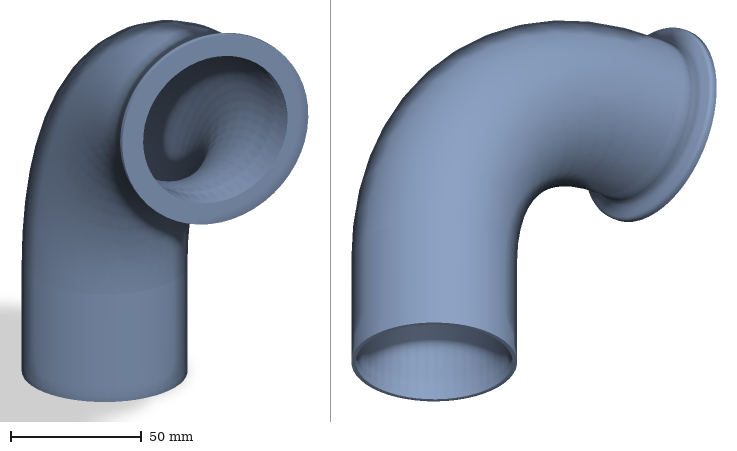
import cadquery as cq
import math

TUBE_DIAMETER = 63.5
BORE_DIAMETER = 60.1
TUBE_RADIUS = TUBE_DIAMETER / 2
BORE_RADIUS = BORE_DIAMETER / 2

FLANGE_DIAMETER = 77.5
FLANGE_RADIUS = FLANGE_DIAMETER / 2
FERRULE_LENGTH = 12.7
RIM_WIDTH = 2.9
CONE_ANGLE = 20.0
RIM_FILLET = 1.5
ROOT_FILLET = 2.0
CONE_LENGTH = (FLANGE_RADIUS - TUBE_RADIUS) * math.tan(math.radians(CONE_ANGLE))

OVERALL_HEIGHT = 178.5
BEND_RADIUS = 1.5 * TUBE_DIAMETER
OUTLET_HEIGHT = OVERALL_HEIGHT - FLANGE_RADIUS
LEG_LENGTH = OUTLET_HEIGHT - BEND_RADIUS
BEND_ANGLE = 90


def make_elbow():
    """Straight vertical leg continued by a quarter bend towards +X."""
    leg = cq.Workplane("XY").circle(TUBE_RADIUS).circle(BORE_RADIUS).extrude(LEG_LENGTH)
    bend = (
        cq.Workplane("XY", origin=(0, 0, LEG_LENGTH))
        .circle(TUBE_RADIUS)
        .circle(BORE_RADIUS)
        .revolve(BEND_ANGLE, (BEND_RADIUS, 0, 0), (BEND_RADIUS, 1, 0))
    )
    return leg.union(bend, clean=False)


def make_ferrule():
    """Clamp ferrule on the outlet axis, with a conical back and rounded corners."""
    rim_start = FERRULE_LENGTH - RIM_WIDTH
    root = rim_start - CONE_LENGTH
    ferrule = (
        cq.Workplane("XZ", origin=(BEND_RADIUS, 0, OUTLET_HEIGHT))
        .moveTo(0, BORE_RADIUS)
        .lineTo(0, TUBE_RADIUS)
        .lineTo(root, TUBE_RADIUS)
        .lineTo(rim_start, FLANGE_RADIUS)
        .lineTo(FERRULE_LENGTH, FLANGE_RADIUS)
        .lineTo(FERRULE_LENGTH, BORE_RADIUS)
        .close()
        .revolve(360, (0, 0, 0), (1, 0, 0))
    )
    ferrule = ferrule.faces("%CONE").edges("%CIRCLE").edges(">X").fillet(RIM_FILLET)
    return ferrule.faces("%CONE").edges("%CIRCLE").edges("<X").fillet(ROOT_FILLET)


elbow = make_elbow()
ferrule = make_ferrule()

result = cq.Compound.makeCompound([elbow.solids().val(), ferrule.solids().val()])